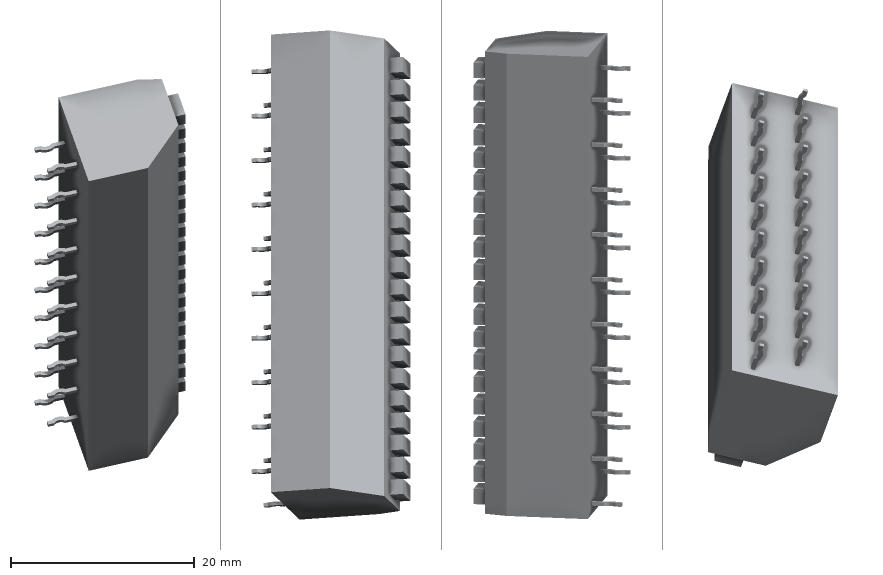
import cadquery as cq
import math


HOUSING_WIDTH = 12.0
HOUSING_DEPTH = 11.5
HOUSING_HEIGHT = 51.5
LEFT_BEVEL_WIDTH = 0.65
LEFT_BEVEL_DEPTH = 2.5
RIGHT_BEVEL_WIDTH = 4.8
RIGHT_BEVEL_DEPTH = 4.8

POLE_COUNT = 20
POLE_SPAN = 47.5
POLE_PITCH = POLE_SPAN / (POLE_COUNT - 1)

BUTTON_LEFT = 1.85
BUTTON_WIDTH = 3.0
BUTTON_PROJECTION = 1.5
BUTTON_HEIGHT = 1.7
FIRST_BUTTON_Z = 1.6
STEM_INSET = 0.6
STEM_LENGTH = 0.35
FOOT_INSET = 0.1
FOOT_WIDTH = 0.2

PIN_THICKNESS = 0.45
PIN_HEIGHT = 0.4
PIN_LENGTH = 3.35
FIRST_PIN_Z = 1.25
LEFT_PIN_X = 2.35
PIN_ROW_SPACING = 5.0
KINK_START = 1.25
KINK_LENGTH = 1.6
KINK_OFFSET = 0.25


def make_housing():
    outline = [
        (0, 0),
        (HOUSING_WIDTH, 0),
        (HOUSING_WIDTH, HOUSING_DEPTH - RIGHT_BEVEL_DEPTH),
        (HOUSING_WIDTH - RIGHT_BEVEL_WIDTH, HOUSING_DEPTH),
        (LEFT_BEVEL_WIDTH, HOUSING_DEPTH),
        (0, HOUSING_DEPTH - LEFT_BEVEL_DEPTH),
    ]
    return cq.Workplane("XY").polyline(outline).close().extrude(HOUSING_HEIGHT)


def make_button(center_z):
    """Block on the back face, standing on a wide stem and a narrow foot with a slot between."""
    stem_left = BUTTON_LEFT + STEM_INSET
    button_right = BUTTON_LEFT + BUTTON_WIDTH
    foot_left = BUTTON_LEFT + FOOT_INSET
    foot_right = foot_left + FOOT_WIDTH
    head_front = HOUSING_DEPTH + STEM_LENGTH
    button_back = HOUSING_DEPTH + BUTTON_PROJECTION
    outline = [
        (stem_left, HOUSING_DEPTH),
        (button_right, HOUSING_DEPTH),
        (button_right, button_back),
        (BUTTON_LEFT, button_back),
        (BUTTON_LEFT, head_front),
        (foot_left, head_front),
        (foot_left, HOUSING_DEPTH),
        (foot_right, HOUSING_DEPTH),
        (foot_right, head_front),
        (stem_left, head_front),
    ]
    bottom = cq.Workplane("XY", origin=(0, 0, center_z - BUTTON_HEIGHT / 2))
    return bottom.polyline(outline).close().extrude(BUTTON_HEIGHT)


def make_pin(center_x, center_z, bulge_direction):
    """Flat pin with an arched kink bulging towards bulge_direction (+1 or -1) along X."""
    outer = center_x + bulge_direction * PIN_THICKNESS / 2
    inner = center_x - bulge_direction * PIN_THICKNESS / 2
    kink_shift = bulge_direction * KINK_OFFSET
    kink_middle = -KINK_START - KINK_LENGTH / 2

    outer_half = KINK_LENGTH / 2
    outer_radius = (outer_half**2 + KINK_OFFSET**2) / (2 * KINK_OFFSET)
    inner_radius = outer_radius - PIN_THICKNESS
    inner_half = math.sqrt(inner_radius**2 - (inner_radius - KINK_OFFSET) ** 2)

    bottom = cq.Workplane("XY", origin=(0, 0, center_z - PIN_HEIGHT / 2))
    return (
        bottom.moveTo(outer, 0)
        .lineTo(outer, kink_middle + outer_half)
        .threePointArc((outer + kink_shift, kink_middle), (outer, kink_middle - outer_half))
        .lineTo(outer, -PIN_LENGTH)
        .lineTo(inner, -PIN_LENGTH)
        .lineTo(inner, kink_middle - inner_half)
        .threePointArc((inner + kink_shift, kink_middle), (inner, kink_middle + inner_half))
        .lineTo(inner, 0)
        .close()
        .extrude(PIN_HEIGHT)
    )


result = make_housing()
for pole in range(POLE_COUNT):
    pole_z = pole * POLE_PITCH
    result = result.union(make_button(FIRST_BUTTON_Z + pole_z))

    in_left_row = pole % 2 == 0
    pin_x = LEFT_PIN_X if in_left_row else LEFT_PIN_X + PIN_ROW_SPACING
    bulge_direction = 1 if in_left_row else -1
    result = result.union(make_pin(pin_x, FIRST_PIN_Z + pole_z, bulge_direction))